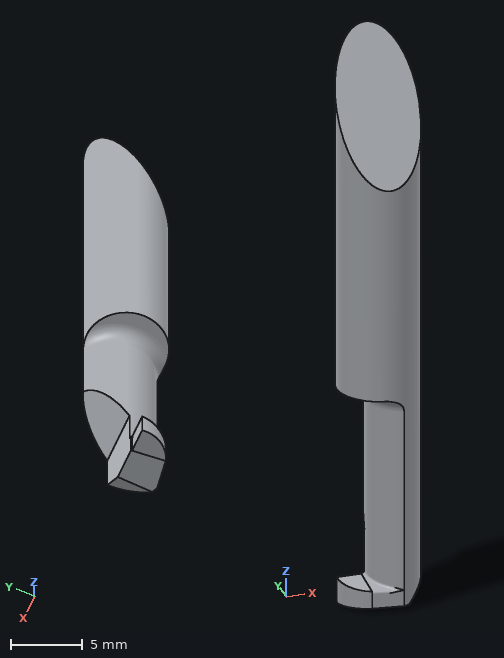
import cadquery as cq
import math


shank_radius = 3.0
overall_length = 42.44
bevel_angle = 60.0

shoulder_z = 16.15
neck_radius = 3.0
neck_axis_x = 2.04
neck_blend = 1.0
neck_left_x = neck_axis_x - neck_radius

rake_face_y = 0.14
tip_face_y = 0.06
ramp_start_z = 5.3
ramp_angle = 30.0

head_height = 1.93
head_blend = 0.2
flank_angle = 7.0
tip_split_x = -1.2
edge_angle = 1.0
tip_front_y = -2.5
corner_chamfer = 1.9
joint_rise = (tip_split_x + shank_radius) * math.tan(math.radians(edge_angle))
head_right_x = (neck_axis_x**2 + shank_radius**2 - neck_radius**2) / (2 * neck_axis_x)

margin = 5.0


def prism_along_x(points):
    """Prism with a (y, z) outline, longer than the bar is wide."""
    width = 2 * (shank_radius + margin)
    return cq.Workplane("YZ").polyline(points).close().extrude(width / 2, both=True)


def rake_relief():
    """Everything in front of the rake face, bounded above by the ramp."""
    outer_y = shank_radius + margin
    ramp_end_z = ramp_start_z + (outer_y - rake_face_y) / math.tan(math.radians(ramp_angle))
    return prism_along_x([
        (rake_face_y, -margin),
        (outer_y, -margin),
        (outer_y, ramp_end_z),
        (rake_face_y, ramp_start_z),
    ])


def flank_rise(y):
    """Height of the lower flank above the cutting edge; the upper flank drops as much."""
    return (tip_face_y - y) * math.tan(math.radians(flank_angle))


def flank_wedge():
    """Space between the relieved flanks, narrowing away from the rake face."""
    front_y = -shank_radius - margin
    return prism_along_x([
        (rake_face_y, flank_rise(rake_face_y)),
        (rake_face_y, head_height - flank_rise(rake_face_y)),
        (front_y, head_height - flank_rise(front_y)),
        (front_y, flank_rise(front_y)),
    ])


def below_lower_flank():
    """Everything under the lower flank."""
    front_y = -shank_radius - margin
    back_y = -front_y
    return prism_along_x([
        (back_y, flank_rise(back_y)),
        (front_y, flank_rise(front_y)),
        (front_y, -margin),
        (back_y, -margin),
    ])


def neck_relief():
    """Ring around the neck, rounded into the shoulder at the top."""
    outer_radius = neck_radius + 2 * shank_radius
    blend_end = neck_radius + neck_blend
    blend_mid = blend_end - neck_blend * math.cos(math.radians(45))
    blend_start_z = shoulder_z - neck_blend
    blend_mid_z = blend_start_z + neck_blend * math.sin(math.radians(45))
    profile = (
        cq.Workplane("XZ", origin=(neck_axis_x, 0, 0))
        .moveTo(neck_radius, -margin)
        .lineTo(neck_radius, blend_start_z)
        .threePointArc((blend_mid, blend_mid_z), (blend_end, shoulder_z))
        .lineTo(outer_radius, shoulder_z)
        .lineTo(outer_radius, -margin)
        .close()
    )
    ring = profile.revolve(360, (0, 0, 0), (0, 1, 0))
    left_half = cq.Workplane("XY").box(
        2 * shank_radius + margin, 4 * shank_radius, 4 * overall_length
    ).translate((neck_axis_x - shank_radius - margin / 2, 0, 0))
    return ring.intersect(left_half)


def beveled_shank():
    """Round bar with its upper end cut off at a slant, highest at +Y."""
    drop = 2 * shank_radius * math.tan(math.radians(bevel_angle))
    side = prism_along_x([
        (-shank_radius, -margin),
        (shank_radius, -margin),
        (shank_radius, overall_length),
        (-shank_radius, overall_length - drop),
    ])
    bar = cq.Workplane("XY", origin=(0, 0, -margin)).circle(shank_radius).extrude(2 * overall_length)
    return bar.intersect(side)


def corner_cut():
    """45 degree cut at the lower +X corner."""
    reach = corner_chamfer + margin
    return (
        cq.Workplane("XZ")
        .polyline([
            (shank_radius - corner_chamfer - margin, -margin),
            (shank_radius + margin, corner_chamfer + margin),
            (shank_radius + margin, -margin),
        ])
        .close()
        .extrude(reach, both=True)
    )


def head_block():
    """Part of the cutting head that belongs to the holder."""
    front_corner_y = -math.sqrt(shank_radius**2 - head_right_x**2)
    plan = (
        cq.Workplane("XY")
        .polyline([
            (tip_split_x, rake_face_y),
            (tip_split_x, tip_front_y),
            (head_right_x, front_corner_y),
            (head_right_x, rake_face_y),
        ])
        .close()
        .extrude(head_height + 2 * joint_rise)
    )
    return plan.intersect(flank_wedge().translate((0, 0, joint_rise)))


def make_holder():
    """Shank, neck and inner part of the head in one piece."""
    body = beveled_shank().cut(neck_relief()).cut(rake_relief())
    body = body.cut(below_lower_flank().translate((0, 0, joint_rise))).cut(corner_cut())
    body = body.union(head_block())
    foot_z = head_height / 2
    neck_foot = cq.selectors.BoxSelector(
        (neck_left_x, -shank_radius, foot_z),
        (head_right_x, 0, head_height),
    )
    return body.edges(neck_foot).fillet(head_blend)


def make_tip():
    """Cutting tip with a round front that falls away from the shank radius."""
    half_chord = -tip_front_y
    arc_depth = tip_split_x + shank_radius
    arc_radius = (half_chord**2 + arc_depth**2) / (2 * arc_depth)
    arc_center_x = -shank_radius + arc_radius
    mid_angle = math.asin(half_chord / arc_radius) / 2
    arc_mid = (
        arc_center_x - arc_radius * math.cos(mid_angle),
        -arc_radius * math.sin(mid_angle),
    )
    plan = (
        cq.Workplane("XY")
        .moveTo(tip_split_x, tip_face_y)
        .lineTo(-shank_radius, tip_face_y)
        .lineTo(-shank_radius, 0)
        .threePointArc(arc_mid, (tip_split_x, tip_front_y))
        .close()
        .extrude(head_height + 2 * joint_rise)
    )
    far_left = (-shank_radius, 0, 0)
    wedge = flank_wedge().rotate(far_left, (-shank_radius, -1, 0), edge_angle)
    return plan.intersect(wedge)


holder = make_holder()
tip = make_tip()

result = cq.Compound.makeCompound([holder.solids().val(), tip.solids().val()])